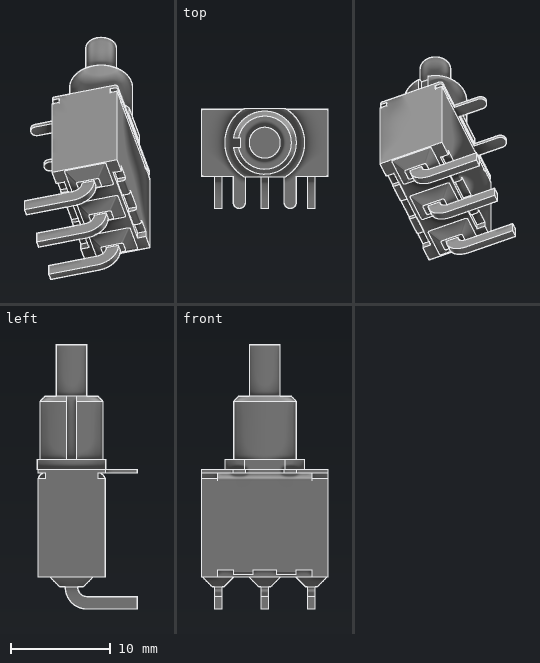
import cadquery as cq
total_height = 26.52
front_reach = 6.6

body_width = 12.7
body_front = 3.4
body_back = 3.37
body_bottom = 3.2
body_top = 13.63

plate_thickness = 0.4
plate_corner_radius = 0.27
plate_top = body_top + plate_thickness

rim_width = 9.45
rim_radius = 0.82
rim_height = 0.75
end_notch_depth = 0.75
end_notch_height = 0.53

relief_height = 0.72
relief_depth = 0.85

tab_width = 1.25
tab_spacing = 5.1

washer_diameter = 8.0
washer_flats = 6.9
washer_top = 15.0

bushing_diameter = 6.35
bushing_top = 21.35
bushing_chamfer = 0.5
keyway_width = 0.98
keyway_depth = 0.75

plunger_diameter = 3.1

lead_pitch = 4.67
lead_width = 0.77
lead_depth = 1.27
bend_inner_radius = 0.93

skirt_length = 3.13
skirt_breadth = 4.3
skirt_height = 0.98
skirt_taper = 45.0
skirt_corner_radius = 0.27

crimp_width = 1.94
crimp_spacing = 4.3
crimp_drop = 0.45
crimp_radius = 0.32
overlap = 0.27

lead_positions = (-lead_pitch, 0, lead_pitch)


def box(x_range, y_range, z_range):
    """Box between pairs of limits along each axis."""
    size = [high - low for low, high in (x_range, y_range, z_range)]
    corner = (x_range[0], y_range[0], z_range[0])
    return cq.Workplane("XY").box(*size, centered=False).translate(corner)


def centered(width):
    return (-width / 2, width / 2)


def edge_sides():
    """Y of the front and back body faces, with the direction pointing inward."""
    return ((-body_front, 1), (body_back, -1))


def inward_range(face, inward, depth):
    return sorted((face, face + inward * depth))


def make_body():
    body = box(centered(body_width), (-body_front, body_back), (body_bottom, body_top))
    notch_z = (body_top - end_notch_height, body_top)
    relief_z = (body_bottom, body_bottom + relief_height)
    for face, inward in edge_sides():
        notch_y = inward_range(face, inward, end_notch_depth)
        body = body.cut(box((-body_width / 2, -rim_width / 2), notch_y, notch_z))
        body = body.cut(box((rim_width / 2, body_width / 2), notch_y, notch_z))

        rim_start = body_top - rim_height
        corner = box(
            centered(rim_width),
            inward_range(face, inward, rim_radius),
            (rim_start, rim_start + rim_radius),
        )
        round_edge = (
            cq.Workplane("YZ")
            .center(face + inward * rim_radius, rim_start)
            .circle(rim_radius)
            .extrude(rim_width / 2, both=True)
        )
        body = body.cut(corner.cut(round_edge))

        body = body.cut(box(centered(rim_width), inward_range(face, inward, relief_depth), relief_z))
    return body


def make_plate():
    plate = box(centered(body_width), (-body_front, body_back), (body_top, plate_top))
    plate = plate.edges("|Z").fillet(plate_corner_radius)
    for x in (-tab_spacing / 2, tab_spacing / 2):
        tip_center = -front_reach + tab_width / 2
        shank = box((x - tab_width / 2, x + tab_width / 2), (tip_center, 0), (body_top, plate_top))
        tip = (
            cq.Workplane("XY", origin=(x, tip_center, body_top))
            .circle(tab_width / 2)
            .extrude(plate_thickness)
        )
        plate = plate.union(shank).union(tip)
    return plate


def cylinder(diameter, bottom, top):
    return cq.Workplane("XY").workplane(offset=bottom).circle(diameter / 2).extrude(top - bottom)


def make_washer():
    washer = cylinder(washer_diameter, plate_top, washer_top)
    flats = box(centered(washer_diameter), centered(washer_flats), (plate_top, washer_top))
    return washer.intersect(flats)


def make_bushing():
    bushing = cylinder(bushing_diameter, washer_top, bushing_top)
    bushing = bushing.faces(">Z").chamfer(bushing_chamfer)
    outer = -bushing_diameter / 2
    keyway = box((outer, outer + keyway_depth), centered(keyway_width), (washer_top, bushing_top))
    return bushing.cut(keyway)


def make_skirt(x):
    skirt = (
        cq.Workplane("XY", origin=(x, 0, body_bottom))
        .rect(skirt_length, skirt_breadth)
        .extrude(-skirt_height, taper=skirt_taper)
    )
    return skirt.edges("not(#Z)").fillet(skirt_corner_radius)


def make_lead(x):
    """Square lead that leaves the skirt downward and bends toward -Y."""
    back = lead_depth / 2
    outer_radius = bend_inner_radius + lead_depth
    bend_y = back - outer_radius
    bend_z = outer_radius
    top = body_bottom + overlap
    diagonal = 0.5 ** 0.5
    profile = (
        cq.Workplane("YZ")
        .moveTo(back, top)
        .lineTo(back, bend_z)
        .threePointArc(
            (bend_y + outer_radius * diagonal, bend_z - outer_radius * diagonal),
            (bend_y, 0),
        )
        .lineTo(-front_reach, 0)
        .lineTo(-front_reach, lead_depth)
        .lineTo(bend_y, lead_depth)
        .threePointArc(
            (bend_y + bend_inner_radius * diagonal, bend_z - bend_inner_radius * diagonal),
            (-back, bend_z),
        )
        .lineTo(-back, top)
        .close()
    )
    return profile.extrude(lead_width / 2, both=True).translate((x, 0, 0))


def make_crimp(x, face, inward):
    """Tab hanging flush with the body face and bent inward until it meets the base."""
    top = body_bottom + relief_height
    y_range = inward_range(face, inward, relief_depth + overlap)
    crimp = box((x - crimp_width / 2, x + crimp_width / 2), y_range, (top - crimp_drop, top))
    outer_side = "<Y" if inward > 0 else ">Y"
    return crimp.faces(outer_side).edges("<Z").fillet(crimp_radius)


result = make_body().union(make_plate()).union(make_washer()).union(make_bushing())
result = result.union(cylinder(plunger_diameter, bushing_top - overlap, total_height))
for lead_x in lead_positions:
    result = result.union(make_skirt(lead_x)).union(make_lead(lead_x))
for crimp_x in (-crimp_spacing / 2, crimp_spacing / 2):
    for face_y, inward_sign in edge_sides():
        result = result.union(make_crimp(crimp_x, face_y, inward_sign))